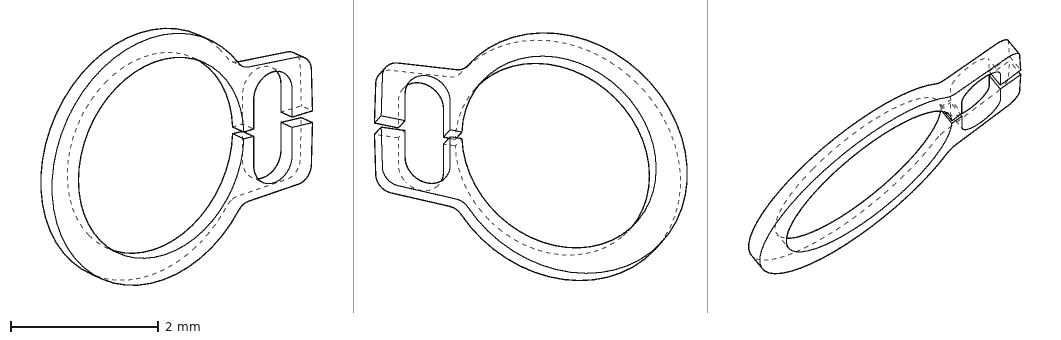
import cadquery as cq
import math

thickness = 0.25
outer_radius = 1.78
bore_radius = 1.415
bore_offset = 0.095

lug_reach = 2.69
lug_half_height = 0.948
lug_taper = 3.4
lug_corner_radius = 0.24
neck_radius = 0.225

slot_centre = 2.01
slot_width = 0.655
slot_length = 1.61

gap_half_angle = 1.8


def extrude_profile(sketch):
    """Extrude a YZ profile symmetrically about the mid-plane."""
    return sketch.extrude(thickness / 2, both=True)


def profile():
    return cq.Workplane("YZ")


def make_lug():
    gap_slope = math.tan(math.radians(gap_half_angle))
    side_slope = math.tan(math.radians(lug_taper))
    gap_corner_z = lug_reach * gap_slope
    end_apex = lug_reach + gap_corner_z * gap_slope

    side_z_at_apex = lug_half_height - side_slope * (end_apex - slot_centre)
    corner_z = side_z_at_apex / (1 - side_slope * gap_slope)
    corner_y = end_apex - corner_z * gap_slope

    root_z = lug_half_height + side_slope * slot_centre
    outline = [
        (0, -root_z),
        (corner_y, -corner_z),
        (end_apex, 0),
        (corner_y, corner_z),
        (0, root_z),
    ]
    lug = extrude_profile(profile().polyline(outline).close())
    end_corners = cq.selectors.BoxSelector(
        (-thickness, slot_centre, corner_z / 2), (thickness, end_apex, lug_half_height)
    ) + cq.selectors.BoxSelector(
        (-thickness, slot_centre, -lug_half_height), (thickness, end_apex, -corner_z / 2)
    )
    return lug.edges("|X").edges(end_corners).fillet(lug_corner_radius)


def make_body():
    disc = extrude_profile(profile().circle(outer_radius))
    body = disc.union(make_lug())
    neck_y = math.sqrt(outer_radius**2 - lug_half_height**2)
    neck_zone = cq.selectors.BoxSelector(
        (-thickness, neck_y - neck_radius, -outer_radius),
        (thickness, neck_y + neck_radius, outer_radius),
    )
    return body.edges("|X").edges(neck_zone).fillet(neck_radius)


def make_bore():
    return extrude_profile(profile().center(bore_offset, 0).circle(bore_radius))


def make_slot():
    return extrude_profile(profile().center(slot_centre, 0).slot2D(slot_length, slot_width, 90))


def make_gap():
    gap_end = 2 * lug_reach
    gap_end_z = gap_end * math.tan(math.radians(gap_half_angle))
    wedge = [(0, 0), (gap_end, gap_end_z), (gap_end, -gap_end_z)]
    return extrude_profile(profile().polyline(wedge).close())


result = make_body().cut(make_bore()).cut(make_slot()).cut(make_gap())